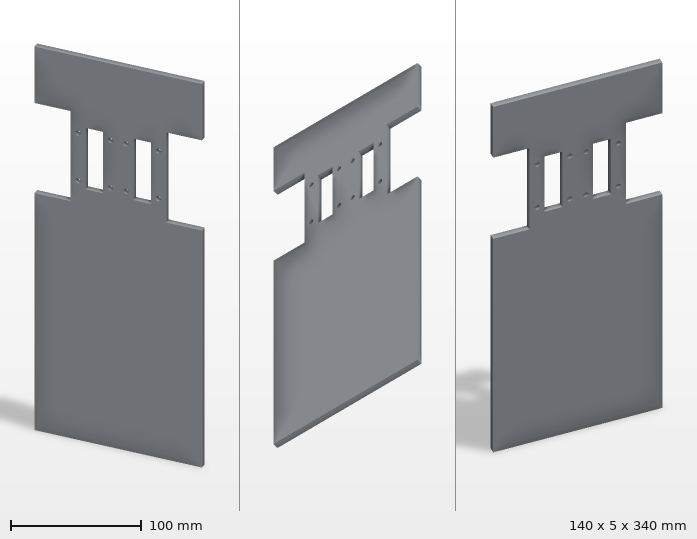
import cadquery as cq

height = 340.0
width = 140.0
thickness = 5.0
head_height = 50.0
neck_height = 80.0
neck_width = 80.0

window_width = 14.5
window_height = 54.5
window_rise = 0.7
window_spacing = 40.0
hole_diameter = 4.5
hole_spacing_x = 27.0
hole_spacing_z = 42.0

neck_center_z = height / 2 - head_height - neck_height / 2
window_center_z = neck_center_z + window_rise
notch_depth = (width - neck_width) / 2


def make_plate():
    """Flat plate centred on the origin, narrowed to a neck by two side notches."""
    plate = cq.Workplane("XY").box(width, thickness, height)
    for side in (-1, 1):
        notch = cq.Workplane("XY").box(notch_depth, thickness, neck_height)
        notch_x = side * (width - notch_depth) / 2
        plate = plate.cut(notch.translate((notch_x, 0, neck_center_z)))
    return plate


def cut_window(plate, center_x):
    """Cut one window and its four screw holes through the neck."""
    face = plate.faces("<Y").workplane(origin=(center_x, 0, window_center_z))
    plate = face.rect(window_width, window_height).cutThruAll()
    face = plate.faces("<Y").workplane(origin=(center_x, 0, window_center_z))
    return face.rarray(hole_spacing_x, hole_spacing_z, 2, 2).hole(hole_diameter)


result = make_plate()
for side in (-1, 1):
    result = cut_window(result, side * window_spacing / 2)